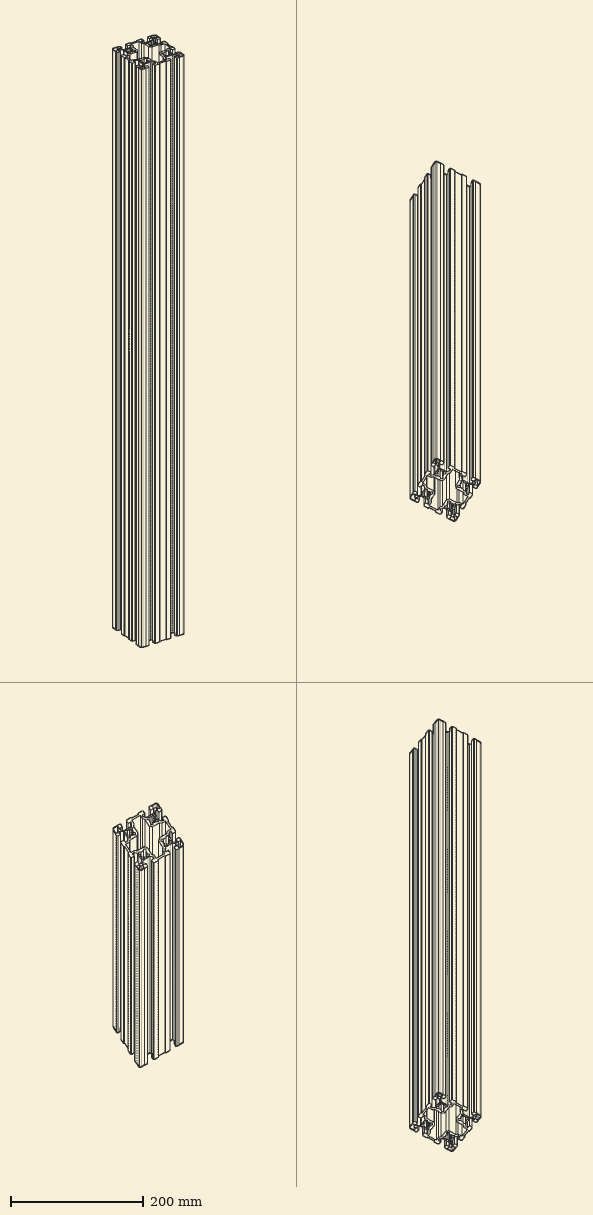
import cadquery as cq

LENGTH = 1000.0
SIDE = 80.0
CORNER_RADIUS = 3.5
HALF = SIDE / 2
AXIS = SIDE / 4

SLOT_WIDTH = 10.0
LIP_CHAMFER = 1.2
LIP_THICKNESS = 6.0
CHAMBER_HALF_WIDTH = 9.7
CHAMBER_DEPTH = 8.8
CHAMBER_BEVEL = 3.6

GROOVE_WIDTH = 12.0
GROOVE_DEPTH = 1.5

OUTER_WALL = 4.6
ARM_WIDTH = 15.0
CORE_OFFSET = 9.9
CORE_BEVEL_START = 6.2
CORE_NOSE = 3.5

BORE_DIAMETER = 10.0
LOBE_WIDTH = 3.8
LOBE_CENTRE = 6.8

HOLLOW_WALL = 1.1
HOLLOW_LENGTH = 8.4
HOLLOW_THICKNESS = 4.9

QUARTER_TURNS = (0, 90, 180, 270)
Z_AXIS = ((0, 0, 0), (0, 0, 1))


def prism(points):
    """Full-length prism on a closed polygon."""
    return cq.Workplane("XY").polyline(points).close().extrude(LENGTH)


def four_around(cutter):
    """The cutter repeated at quarter turns about the bar's axis."""
    return [cutter.rotate(*Z_AXIS, angle) for angle in QUARTER_TURNS]


def blank():
    bar = cq.Workplane("XY").rect(SIDE, SIDE).extrude(LENGTH)
    return bar.edges("|Z").fillet(CORNER_RADIUS)


def slot_cutter():
    """T-slot on the +X side, at positive Y."""
    mouth = SLOT_WIDTH / 2
    chamber = CHAMBER_HALF_WIDTH
    lip_inside = HALF - LIP_THICKNESS
    bevel_start = HALF - CHAMBER_DEPTH
    one_side = [
        (HALF, mouth + LIP_CHAMFER),
        (HALF - LIP_CHAMFER, mouth),
        (lip_inside, mouth),
        (lip_inside, chamber),
        (bevel_start, chamber),
        (bevel_start - CHAMBER_BEVEL, chamber - CHAMBER_BEVEL),
    ]
    upper = [(x, AXIS + y) for x, y in one_side]
    lower = [(x, AXIS - y) for x, y in reversed(one_side)]
    return prism(upper + lower)


def groove_cutter():
    """Shallow groove in the middle of the +X side."""
    return cq.Workplane("XY").center(HALF, 0).rect(2 * GROOVE_DEPTH, GROOVE_WIDTH).extrude(LENGTH)


def cavity_cutter():
    """Cross-shaped cavity, its arms narrowing between the slot chambers."""
    arm = ARM_WIDTH / 2
    flank = AXIS - CORE_OFFSET
    bevel_start = AXIS + CORE_BEVEL_START
    arm_edge = [
        (HALF - OUTER_WALL, arm),
        (bevel_start + flank - arm, arm),
        (bevel_start, flank),
        (flank + CORE_NOSE, flank),
    ]
    quadrant = arm_edge + [(y, x) for x, y in reversed(arm_edge)]
    outline = []
    for _ in QUARTER_TURNS:
        outline += quadrant
        quadrant = [(-y, x) for x, y in quadrant]
    return prism(outline)


def bore_cutter():
    """Round bore with four diagonal lobes, in the +X +Y core."""
    bore = cq.Workplane("XY").circle(BORE_DIAMETER / 2).extrude(LENGTH)
    lobe_pair = cq.Workplane("XY").slot2D(2 * LOBE_CENTRE + LOBE_WIDTH, LOBE_WIDTH).extrude(LENGTH)
    for angle in (45, 135):
        bore = bore.union(lobe_pair.rotate(*Z_AXIS, angle))
    return bore.translate((AXIS, AXIS, 0))


def hollow_cutter():
    """L-shaped hollow in the +X +Y outer corner."""
    outside = HALF - HOLLOW_WALL
    inside = outside - HOLLOW_THICKNESS
    end = outside - HOLLOW_LENGTH
    return prism([
        (outside, outside),
        (end, outside),
        (end, inside),
        (inside, inside),
        (inside, end),
        (outside, end),
    ])


slot = slot_cutter()
result = blank().cut(cavity_cutter())
for repeated in (slot, slot.mirror("XZ"), groove_cutter(), bore_cutter(), hollow_cutter()):
    for cutter in four_around(repeated):
        result = result.cut(cutter)